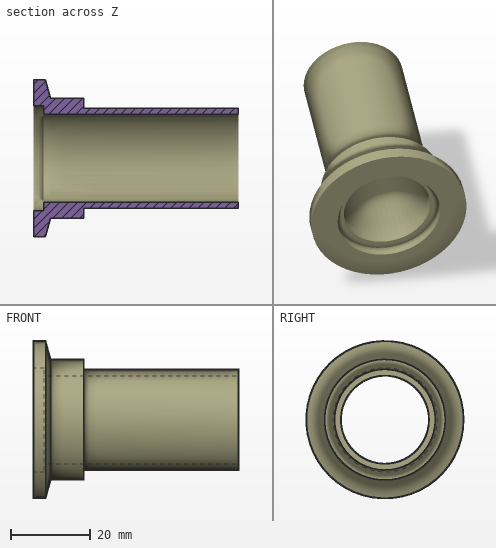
import cadquery as cq

length = 51.8

flange_diameter = 39.8
rim_width = 3.05
taper_end = 4.35

hub_diameter = 30.45
hub_end = 12.75
tube_diameter = 25.45

bore_diameter = 22.2
recess_diameter = 26.3
recess_depth = 2.6

section = [
    (0, recess_diameter / 2),
    (0, flange_diameter / 2),
    (rim_width, flange_diameter / 2),
    (taper_end, hub_diameter / 2),
    (hub_end, hub_diameter / 2),
    (hub_end, tube_diameter / 2),
    (length, tube_diameter / 2),
    (length, bore_diameter / 2),
    (recess_depth, bore_diameter / 2),
    (recess_depth, recess_diameter / 2),
]

result = cq.Workplane("XY").polyline(section).close().revolve(360, (0, 0, 0), (1, 0, 0))